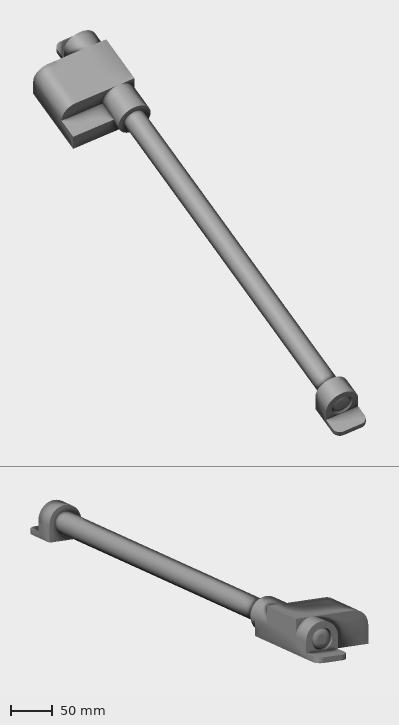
import cadquery as cq

length = 700.0
depth = 100.0
height = 44.0

collar_radius = height / 2
axis_y = -collar_radius
axis_z = collar_radius
rod_radius = 14.0
rod_tip_radius = 6.0
rod_end_round = rod_radius - rod_tip_radius

tab_length = 26.0
tab_thickness = 7.0
tab_corner_radius = 10.0
foot_width = 2 * collar_radius
right_foot_length = 52.5

housing_start = 51.0
housing_end = 121.0
housing_round = 20.0
step_end = 150.0
step_height = 22.5
sleeve_end = 161.0


def block(x_start, x_end, width, top):
    """Block on the base plane, reaching forward from the back face."""
    corner = cq.Workplane("XY", origin=(x_start, -width, 0))
    return corner.box(x_end - x_start, width, top, centered=False)


def cylinder(x_start, x_end, radius):
    """Cylinder on the rod axis."""
    plane = cq.Workplane("YZ", origin=(x_start, axis_y, axis_z))
    return plane.circle(radius).extrude(x_end - x_start)


def foot(foot_length):
    """Foot at X = 0: tab with rounded outer corners, then a round-topped collar."""
    tab = block(0, foot_length, foot_width, tab_thickness)
    tab = tab.edges("|Z and <X").fillet(tab_corner_radius)
    collar_base = block(tab_length, foot_length, foot_width, axis_z)
    collar_top = cylinder(tab_length, foot_length, collar_radius)
    return tab.union(collar_base).union(collar_top)


def housing():
    """Tall block with a rounded front top edge, the low step and the sleeve."""
    tall_block = block(housing_start, housing_end, depth, height)
    tall_block = tall_block.edges("|X and >Z and <Y").fillet(housing_round)
    step = block(housing_end, step_end, depth, step_height)
    sleeve = cylinder(housing_start, sleeve_end, collar_radius)
    return tall_block.union(step).union(sleeve)


rod_bore = cylinder(tab_length, length - tab_length, rod_radius)
rod = rod_bore.faces("<X or >X").edges().fillet(rod_end_round)

left_foot = foot(housing_start)
right_foot = foot(right_foot_length).mirror("YZ").translate((length, 0, 0))

result = left_foot.union(right_foot).union(housing()).cut(rod_bore).union(rod)